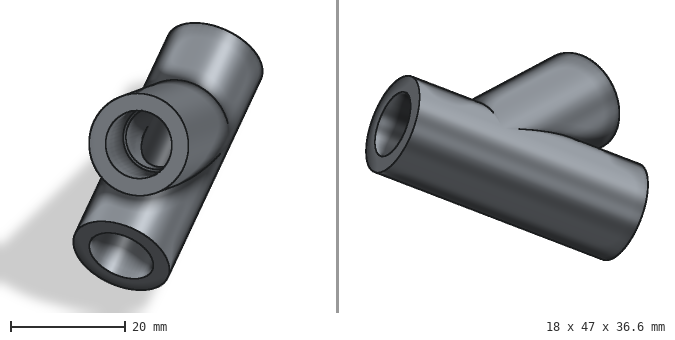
import cadquery as cq

run_length = 47.0
outer_diameter = 18.0
socket_diameter = 12.0
bore_diameter = 11.0
socket_depth = 12.5
branch_length = 30.0
branch_angle = 45.0
junction_from_back = 17.0

front_y = -run_length / 2
back_y = run_length / 2
junction_y = back_y - junction_from_back


def cylinder_along_y(diameter, start_y, end_y):
    """Cylinder on the Y axis between two stations."""
    plane = cq.Workplane("XZ", origin=(0, start_y, 0))
    return plane.circle(diameter / 2).extrude(start_y - end_y)


def tilt_to_branch(body):
    """Turn a body on the -Y axis up to the branch direction and move it to the junction."""
    return body.rotate((0, 0, 0), (1, 0, 0), -branch_angle).translate((0, junction_y, 0))


run = cylinder_along_y(outer_diameter, front_y, back_y)
branch = tilt_to_branch(cylinder_along_y(outer_diameter, -branch_length, 0))

run_bore = cylinder_along_y(bore_diameter, front_y, back_y)
front_socket = cylinder_along_y(socket_diameter, front_y, front_y + socket_depth)
back_socket = cylinder_along_y(socket_diameter, back_y - socket_depth, back_y)

branch_bore = tilt_to_branch(cylinder_along_y(bore_diameter, -branch_length, 0))
branch_socket = tilt_to_branch(
    cylinder_along_y(socket_diameter, -branch_length, -branch_length + socket_depth)
)

result = run.union(branch)
for cavity in (run_bore, front_socket, back_socket, branch_bore, branch_socket):
    result = result.cut(cavity)